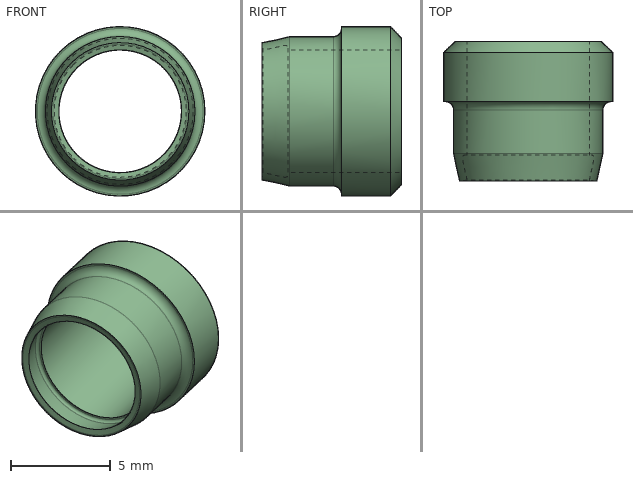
import cadquery as cq
import math

COLLAR_RADIUS = 4.25
SLEEVE_RADIUS = 3.75
NOSE_RADIUS = 3.44
NOSE_RIM_WIDTH = 0.08
BORE_RADIUS = 3.07

LENGTH = 7.0
TAPER_LENGTH = 1.39
COLLAR_START = 3.99
UNDERCUT_END = 1.32

COLLAR_CHAMFER_LENGTH = 0.56
COLLAR_CHAMFER_DEPTH = 0.59
SHOULDER_FILLET = 0.41
UNDERCUT_FILLET = 0.145

NOSE_ANGLE = math.atan((SLEEVE_RADIUS - NOSE_RADIUS) / TAPER_LENGTH)
NOSE_RIM_RADIUS = NOSE_RADIUS - NOSE_RIM_WIDTH
LIP_SETBACK = (NOSE_RIM_RADIUS - BORE_RADIUS) * math.tan(NOSE_ANGLE)

FILLET_CENTER = UNDERCUT_END - UNDERCUT_FILLET
UNDERCUT_START = FILLET_CENTER - UNDERCUT_FILLET * math.sin(NOSE_ANGLE)
UNDERCUT_RADIUS = BORE_RADIUS + (UNDERCUT_START - LIP_SETBACK) * math.tan(NOSE_ANGLE)
UNDERCUT_WALL_RADIUS = UNDERCUT_RADIUS - UNDERCUT_FILLET * math.cos(NOSE_ANGLE)


def along(distance):
    """Y position at a distance behind the nose face, with the part centred on Y."""
    return distance - LENGTH / 2


def ring_profile():
    """Half section of the ring, with radius along X."""
    shoulder_sag = SHOULDER_FILLET * (1 - math.sqrt(0.5))
    return (
        cq.Workplane("XY")
        .moveTo(BORE_RADIUS, along(LIP_SETBACK))
        .lineTo(UNDERCUT_RADIUS, along(UNDERCUT_START))
        .tangentArcPoint((UNDERCUT_WALL_RADIUS, along(UNDERCUT_END)), relative=False)
        .lineTo(BORE_RADIUS, along(UNDERCUT_END))
        .lineTo(BORE_RADIUS, along(LENGTH))
        .lineTo(COLLAR_RADIUS - COLLAR_CHAMFER_DEPTH, along(LENGTH))
        .lineTo(COLLAR_RADIUS, along(LENGTH - COLLAR_CHAMFER_LENGTH))
        .lineTo(COLLAR_RADIUS, along(COLLAR_START))
        .lineTo(SLEEVE_RADIUS + SHOULDER_FILLET, along(COLLAR_START))
        .threePointArc(
            (SLEEVE_RADIUS + shoulder_sag, along(COLLAR_START - shoulder_sag)),
            (SLEEVE_RADIUS, along(COLLAR_START - SHOULDER_FILLET)),
        )
        .lineTo(SLEEVE_RADIUS, along(TAPER_LENGTH))
        .lineTo(NOSE_RADIUS, along(0))
        .lineTo(NOSE_RIM_RADIUS, along(0))
        .close()
    )


result = ring_profile().revolve(360, (0, 0, 0), (0, 1, 0))